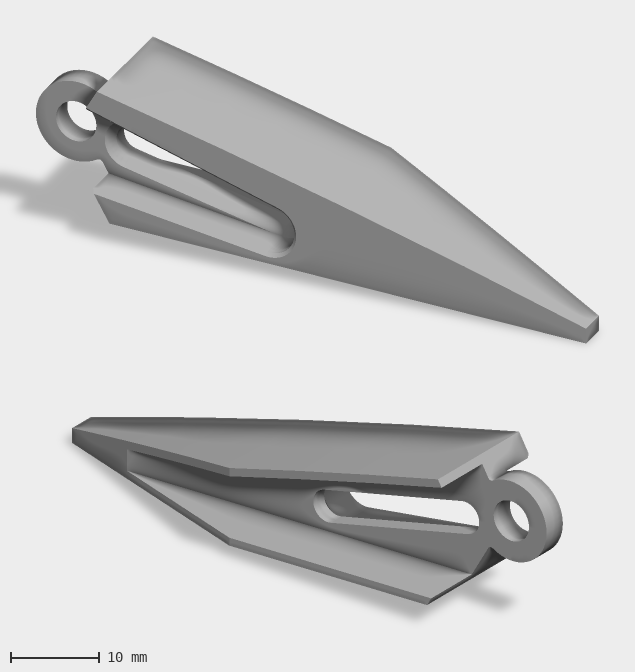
import cadquery as cq
import math


hole_diameter = 5.0
eye_radius = 5.0
eye_blend_radius = 0.5

total_width = 15.0
web_front = 4.5
web_back = 7.5

heel_top = (4.65, 6.83)
heel_bottom = (6.2, -9.5)
tip_x = 65.28
tip_top = (tip_x, -10.05)
tip_bottom = (tip_x, -11.92)
heel_angle = 60.0
upper_heel_length = 5.0
lower_heel_length = 7.0
top_bulge = 0.52
lip_thickness = 1.0

trim_start_x = 34.2
tip_width = 3.5

slot_left = (6.55, -1.6)
slot_right = (26.05, -6.18)
slot_radius = 2.0
slot_chamfer = 1.0

pocket_radius = 2.9
pocket_chamfer = 0.4
pocket_top_start = (3.0, 4.15)
pocket_bottom_start = (4.0, -5.7)

overrun = 10.0


def xz_plane(y):
    """Sketch plane at depth y with local axes X and Z; a positive extrusion runs toward -Y."""
    return cq.Workplane("XZ", origin=(0, y, 0))


def point_toward(start, angle, distance):
    """Point at a distance from start, at an angle in degrees."""
    return (
        start[0] + distance * math.cos(math.radians(angle)),
        start[1] + distance * math.sin(math.radians(angle)),
    )


def direction(start, end):
    """Angle in degrees of the line from start to end."""
    return math.degrees(math.atan2(end[1] - start[1], end[0] - start[0]))


def tangent_angle(start, center, radius, side):
    """Angle of the line from start that touches the circle on its upper (+1) or lower (-1) side."""
    half_angle = math.degrees(math.asin(radius / math.dist(start, center)))
    return direction(start, center) + side * half_angle


def arc_middle(start, end, bulge):
    """Middle of an arc that rises above its chord by the bulge."""
    chord_middle = ((start[0] + end[0]) / 2, (start[1] + end[1]) / 2)
    return point_toward(chord_middle, direction(start, end) + 90, bulge)


def wedge_plate(front, back):
    """Wedge profile filling the depth from front to back; its heel closes inside the eye."""
    return (
        xz_plane(back)
        .moveTo(*heel_top)
        .threePointArc(arc_middle(heel_top, tip_top, top_bulge), tip_top)
        .lineTo(*tip_bottom)
        .lineTo(*heel_bottom)
        .lineTo(*point_toward(heel_bottom, 180 - heel_angle, lower_heel_length))
        .lineTo(*point_toward(heel_top, 180 + heel_angle, upper_heel_length))
        .close()
        .extrude(back - front)
    )


def make_web():
    """Middle plate with the round eye at its heel and small fillets where the two meet."""
    eye = xz_plane(web_back).circle(eye_radius).extrude(web_back - web_front)
    junction = cq.selectors.BoxSelector(
        (0, web_front, -eye_radius),
        (eye_radius, web_back, eye_radius),
    )
    web = wedge_plate(web_front, web_back).union(eye)
    return web.edges("|Y").edges(junction).fillet(eye_blend_radius)


def pocket_section(workplane, growth):
    """Pocket outline, open past the heel and grown outward by the given amount."""
    top_angle = tangent_angle(pocket_top_start, slot_right, pocket_radius, 1)
    bottom_angle = tangent_angle(pocket_bottom_start, slot_right, pocket_radius, -1)
    top_start = point_toward(pocket_top_start, top_angle, -overrun)
    bottom_start = point_toward(pocket_bottom_start, bottom_angle, -overrun)
    radius = pocket_radius + growth
    return (
        workplane.moveTo(*point_toward(top_start, top_angle + 90, growth))
        .lineTo(*point_toward(slot_right, top_angle + 90, radius))
        .threePointArc(
            point_toward(slot_right, (top_angle + bottom_angle) / 2, radius),
            point_toward(slot_right, bottom_angle - 90, radius),
        )
        .lineTo(*point_toward(bottom_start, bottom_angle - 90, growth))
        .close()
    )


def make_front():
    """Front layer of the wedge, hollowed by the tapering pocket with its chamfered rim."""
    pocket = pocket_section(xz_plane(web_front), 0).extrude(web_front)
    rim_base = pocket_section(xz_plane(pocket_chamfer), 0)
    rim = pocket_section(rim_base.workplane(offset=pocket_chamfer), pocket_chamfer).loft(ruled=True)
    return wedge_plate(0, web_front).cut(pocket).cut(rim)


def make_lips():
    """Two thin lips behind the web that follow the top and the bottom of the wedge."""
    plate = wedge_plate(web_back, total_width)
    depth = total_width - web_back

    half_chord = math.dist(heel_top, tip_top) / 2
    top_radius = (half_chord**2 + top_bulge**2) / (2 * top_bulge)
    crown = arc_middle(heel_top, tip_top, top_bulge)
    top_center = point_toward(crown, direction(heel_top, tip_top) - 90, top_radius)
    under_top = xz_plane(total_width).moveTo(*top_center).circle(top_radius - lip_thickness).extrude(depth)

    bottom_angle = direction(heel_bottom, tip_bottom)
    bottom_start = point_toward(heel_bottom, bottom_angle, -overrun)
    bottom_end = point_toward(tip_bottom, bottom_angle, overrun)
    bottom_slab = (
        xz_plane(total_width)
        .moveTo(*bottom_start)
        .lineTo(*bottom_end)
        .lineTo(*point_toward(bottom_end, bottom_angle + 90, lip_thickness))
        .lineTo(*point_toward(bottom_start, bottom_angle + 90, lip_thickness))
        .close()
        .extrude(depth)
    )
    return plate.cut(under_top.cut(bottom_slab))


def slot_section(workplane, radius):
    """Round-ended slot outline of the given radius about the two slot centers."""
    angle = direction(slot_left, slot_right)
    return (
        workplane.moveTo(*point_toward(slot_left, angle + 90, radius))
        .lineTo(*point_toward(slot_right, angle + 90, radius))
        .threePointArc(
            point_toward(slot_right, angle, radius),
            point_toward(slot_right, angle - 90, radius),
        )
        .lineTo(*point_toward(slot_left, angle - 90, radius))
        .threePointArc(
            point_toward(slot_left, angle + 180, radius),
            point_toward(slot_left, angle + 90, radius),
        )
        .close()
    )


def make_slot():
    """Slot through the web, widened by a chamfer at the web's front face."""
    slot = slot_section(xz_plane(web_back), slot_radius).extrude(web_back - web_front)
    chamfer_base = slot_section(xz_plane(web_front + slot_chamfer), slot_radius)
    chamfer = slot_section(chamfer_base.workplane(offset=slot_chamfer), slot_radius + slot_chamfer)
    return slot.union(chamfer.loft(ruled=True))


def make_hole():
    """Pivot hole through the eye."""
    return xz_plane(web_back).circle(hole_diameter / 2).extrude(web_back - web_front)


def make_trim():
    """Corner of the blank removed beyond the sloping back edge."""
    return (
        cq.Workplane("XY")
        .moveTo(trim_start_x, total_width)
        .lineTo(tip_x, tip_width)
        .lineTo(tip_x + overrun, tip_width)
        .lineTo(tip_x + overrun, total_width)
        .close()
        .extrude(2 * overrun, both=True)
    )


body = make_web().union(make_front()).union(make_lips())
result = body.cut(make_slot()).cut(make_hole()).cut(make_trim())